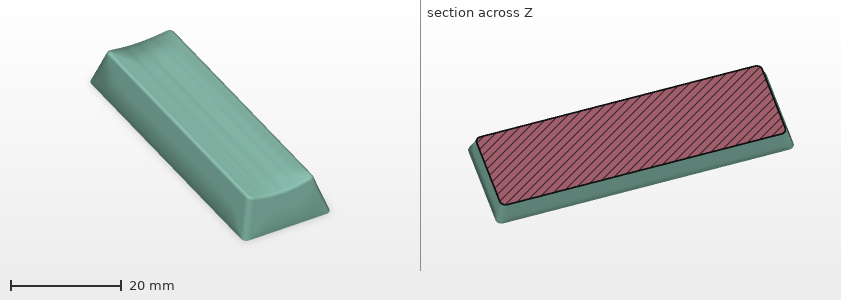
import cadquery as cq

length = 56.4
width = 18.3
wall_draft = 17.4
corner_radius = 1.2
dish_radius = 25.4
dish_floor = 6.6
rim_radius = 0.6

blank_height = 9.0


def tapered_blank():
    """Drafted block with its four sloping corner edges rounded."""
    blank = cq.Workplane("XY").rect(length, width).extrude(blank_height, taper=wall_draft)
    return blank.edges("not(|X or |Y)").fillet(corner_radius)


def dish_cutter():
    """Cylinder along X, wide enough to remove the whole top of the blank."""
    axis_height = dish_floor + dish_radius
    return (
        cq.Workplane("YZ", origin=(-length / 2, 0, 0))
        .center(0, axis_height)
        .circle(dish_radius)
        .extrude(length)
    )


def round_rim(dished_body):
    """Round the edge loop between the dish and the walls."""
    dish_face = cq.selectors.NearestToPointSelector((0, 0, dish_floor))
    return dished_body.faces(dish_face).edges().fillet(rim_radius)


result = round_rim(tapered_blank().cut(dish_cutter()))